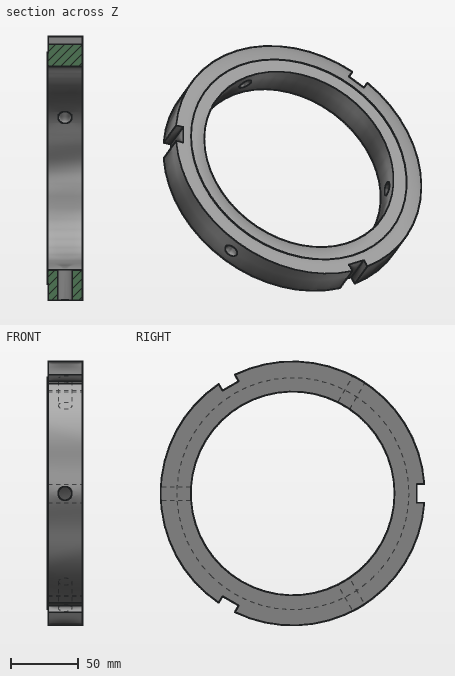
import cadquery as cq

outer_diameter = 194.9
bore_diameter = 150.0
total_width = 26.0

face_diameter = 171.0
face_height = 0.5
body_width = total_width - face_height

slot_count = 3
slot_width = 13.6
slot_floor_radius = 91.5
hole_diameter = 10.1
spacing = 360.0 / slot_count
hole_offset_angle = spacing / 2

outer_radius = outer_diameter / 2
hole_center_x = total_width / 2
cut_clearance = 2.0


def make_ring():
    """Ring body with its raised face starting at X = 0."""
    face = cq.Workplane("YZ").circle(face_diameter / 2).extrude(total_width)
    body = (
        cq.Workplane("YZ")
        .workplane(offset=face_height)
        .circle(outer_radius)
        .extrude(body_width)
    )
    bore = cq.Workplane("YZ").circle(bore_diameter / 2).extrude(total_width)
    return body.union(face).cut(bore)


def make_slot(angle):
    """Cutter for a flat-floored slot across the rim, turned from +Y about X."""
    cut_depth = outer_radius - slot_floor_radius + cut_clearance
    return (
        cq.Workplane("XY")
        .box(total_width, cut_depth, slot_width, centered=(False, False, True))
        .translate((0, slot_floor_radius, 0))
        .rotate((0, 0, 0), (1, 0, 0), angle)
    )


def make_hole(angle):
    """Cutter for a radial hole from the ring axis out through the rim."""
    cutter = cq.Solid.makeCylinder(
        hole_diameter / 2,
        outer_radius + cut_clearance,
        cq.Vector(hole_center_x, 0, 0),
        cq.Vector(0, 1, 0),
    )
    return cq.Workplane(cutter).rotate((0, 0, 0), (1, 0, 0), angle)


result = make_ring()
for index in range(slot_count):
    slot_angle = index * spacing
    result = result.cut(make_slot(slot_angle))
    result = result.cut(make_hole(slot_angle + hole_offset_angle))